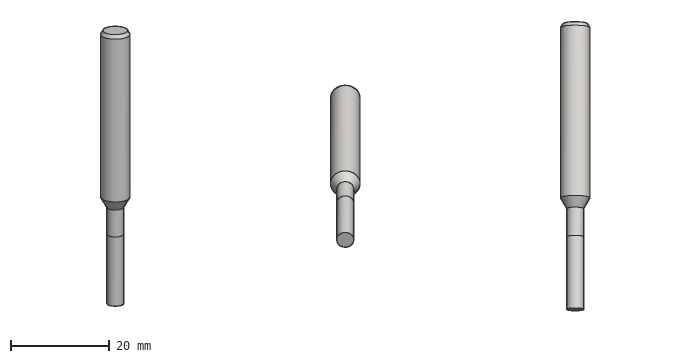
import cadquery as cq
import math

overall_length = 59.0
shank_diameter = 6.0
neck_diameter = 3.5
head_length = 15.0
taper_top = 23.0
cone_half_angle = 30.0
chamfer_height = 0.8

shank_radius = shank_diameter / 2
neck_radius = neck_diameter / 2
cone_slope = math.tan(math.radians(cone_half_angle))
neck_top = taper_top - (shank_radius - neck_radius) / cone_slope
chamfer_width = chamfer_height * cone_slope


def make_head():
    """Plain cylindrical cutting head standing on the XY plane."""
    return cq.Workplane("XY").circle(neck_radius).extrude(head_length)


def make_shank():
    """Neck, conical taper and chamfered shank, revolved about the tool axis."""
    half_profile = (
        cq.Workplane("XZ")
        .moveTo(0, head_length)
        .lineTo(neck_radius, head_length)
        .lineTo(neck_radius, neck_top)
        .lineTo(shank_radius, taper_top)
        .lineTo(shank_radius, overall_length - chamfer_height)
        .lineTo(shank_radius - chamfer_width, overall_length)
        .lineTo(0, overall_length)
        .close()
    )
    return half_profile.revolve(360, (0, 0, 0), (0, 1, 0))


head = make_head()
shank = make_shank()

result = cq.Compound.makeCompound([head.val(), shank.val()])